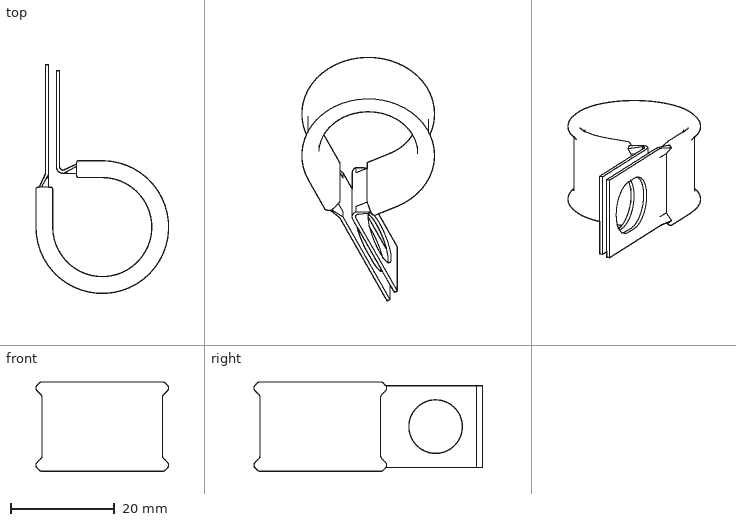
import cadquery as cq
import math

overall_length = 44.15
ring_radius = 25.65 / 2
cushion_height = 17.25

strap_width = 15.85
strap_thickness = 0.65
strap_inner_radius = 10.35
web_half_width = 6.05
lip_rise = 1.35
bend_radius = 1.33
flare_length = 2.55
short_leg_setback = 1.15

cushion_under_strap = 0.8
cushion_over_strap = 0.65
profile_fillet = 0.75
end_fillet = 0.45
long_arm_length = 7.75
short_arm_length = 5.0

hole_diameter = 10.3
slot_length = 12.7
hole_center_y = 22.25

strap_outer_radius = strap_inner_radius + strap_thickness
half_width = strap_width / 2
leg_end_y = overall_length - ring_radius


def cushion_section():
    """Radius-height section: a flat band whose two edges turn outward at 45 degrees."""
    inner_radius = strap_inner_radius - cushion_under_strap
    outer_radius = strap_outer_radius + cushion_over_strap
    thickness = outer_radius - inner_radius
    half_height = cushion_height / 2

    round_offset = (thickness - 2 * profile_fillet) / math.sqrt(2)
    corner_reach = profile_fillet * (math.sqrt(2) - 1)
    rim_r = ring_radius + corner_reach
    rim_z = half_height - profile_fillet - round_offset
    top_r = ring_radius - profile_fillet - round_offset
    top_z = half_height + corner_reach

    upper = [
        (inner_radius, top_z - (top_r - inner_radius)),
        (top_r, top_z),
        (rim_r, rim_z),
        (outer_radius, rim_z - (rim_r - outer_radius)),
    ]
    lower = [(r, -z) for r, z in reversed(upper)]
    outline = upper + lower
    return cq.Sketch().polygon(outline + outline[:1]).vertices().fillet(profile_fillet)


def strap_flare():
    """Upper strap edge, turning from flat at -flare_length to an outward lip at the cushion."""
    edge_step = strap_thickness / math.sqrt(2)
    tip_r = strap_inner_radius + lip_rise
    flat = [
        (strap_inner_radius, web_half_width),
        (strap_inner_radius, half_width),
        (strap_outer_radius, half_width),
        (strap_outer_radius, web_half_width),
    ]
    bent = [
        (strap_inner_radius, web_half_width),
        (tip_r, half_width),
        (tip_r + edge_step, half_width - edge_step),
        (strap_outer_radius, web_half_width),
    ]
    return (
        cq.Workplane("YZ", origin=(-flare_length, 0, 0))
        .polyline(flat)
        .close()
        .workplane(offset=flare_length)
        .polyline(bent)
        .close()
        .loft(ruled=True)
    )


def strap_transition():
    """Strap between a leg and the cushion end at X = 0: flat web with two flared edges."""
    web = (
        cq.Workplane("XY")
        .box(flare_length + end_fillet, strap_thickness, 2 * web_half_width, centered=(False, False, True))
        .translate((-flare_length, strap_inner_radius, 0))
    )
    flare = strap_flare()
    return web.union(flare).union(flare.mirror("XY"))


def arm_end(length):
    """Flared strap at the end of an arm that leaves the ring toward -X."""
    return strap_transition().translate((-length, 0, 0))


def to_long_arm(body):
    """Carry a body from the short arm's side (+Y) to the long arm's side (-X)."""
    return body.mirror("YZ").rotate((0, 0, 0), (0, 0, 1), 90)


def cushion():
    section = cushion_section()
    base = cq.Workplane("YZ").placeSketch(section)
    ring = base.revolve(270, (0, 0, 0), (0, -1, 0))
    short_arm = base.extrude(-short_arm_length).faces("<X").edges().fillet(end_fillet)
    long_arm = base.extrude(-long_arm_length).faces("<X").edges().fillet(end_fillet)
    return ring.union(short_arm).union(to_long_arm(long_arm))


def long_leg():
    start_y = long_arm_length + flare_length
    leg = (
        cq.Workplane("XY")
        .box(strap_thickness, leg_end_y - start_y, strap_width, centered=(False, False, True))
        .translate((-strap_outer_radius, start_y, 0))
    )
    slot = (
        cq.Workplane("YZ", origin=(-strap_outer_radius, 0, 0))
        .center(hole_center_y, 0)
        .slot2D(slot_length, hole_diameter)
        .extrude(strap_thickness)
    )
    return leg.cut(slot)


def short_leg():
    """Leg parallel to the long one, bent at its root into the short arm."""
    bend_end_x = -short_arm_length - flare_length
    outer_x = bend_end_x - bend_radius
    inner_x = outer_x + strap_thickness
    inner_bend = bend_radius - strap_thickness
    bend_y = strap_inner_radius + bend_radius
    end_y = leg_end_y - short_leg_setback
    leg = (
        cq.Workplane("XY", origin=(0, 0, -half_width))
        .moveTo(outer_x, end_y)
        .lineTo(outer_x, bend_y)
        .radiusArc((bend_end_x, strap_inner_radius), -bend_radius)
        .lineTo(bend_end_x, strap_outer_radius)
        .radiusArc((inner_x, bend_y), inner_bend)
        .lineTo(inner_x, end_y)
        .close()
        .extrude(strap_width)
    )
    hole = (
        cq.Workplane("YZ", origin=(outer_x, 0, 0))
        .center(hole_center_y, 0)
        .circle(hole_diameter / 2)
        .extrude(strap_thickness)
    )
    return leg.cut(hole)


result = (
    cushion()
    .union(arm_end(short_arm_length))
    .union(short_leg())
    .union(to_long_arm(arm_end(long_arm_length)))
    .union(long_leg())
)